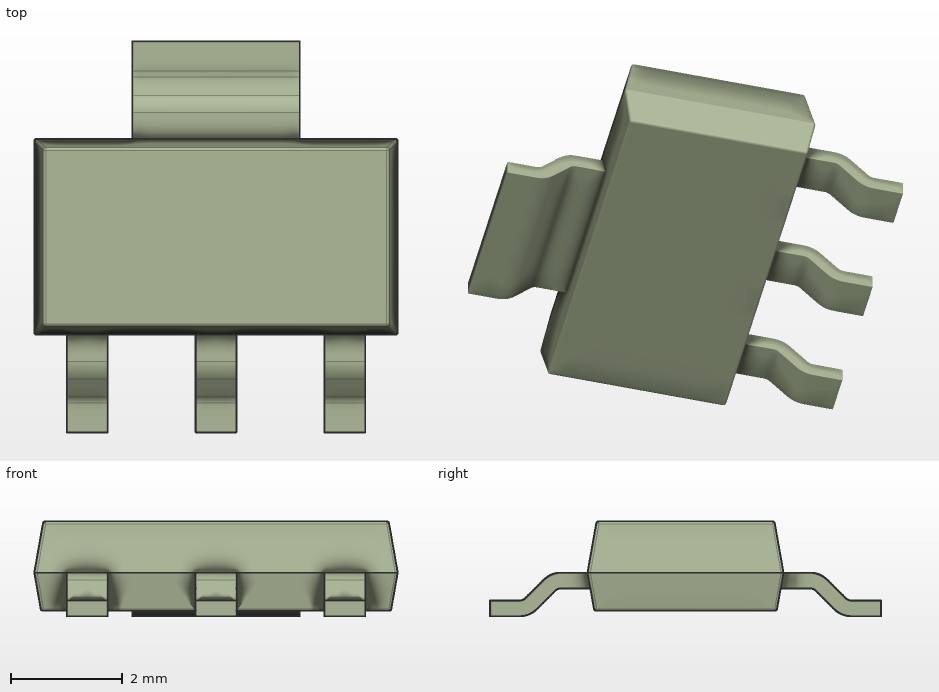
import cadquery as cq
import math

span = 7.0
height = 1.7

body_length = 6.5
body_width = 3.51
standoff = 0.1
parting_height = 0.785
draft_angle = 10.0
body_edge_radius = 0.05

strip_thickness = 0.29
inner_bend_radius = 0.15
outer_bend_radius = inner_bend_radius + strip_thickness
bend_angle = 45.0
strip_edge_radius = 0.015
foot_length = 0.595
embed_depth = 0.35
lead_width = 0.735
lead_pitch = 2.3
lead_count = 3
tab_width = 3.0


def body_half(thickness, parting_face):
    """Half of the body, narrowing away from the parting plane; negative thickness goes down."""
    half = (
        cq.Workplane("XY", origin=(0, 0, parting_height))
        .rect(body_length, body_width)
        .extrude(thickness, taper=draft_angle)
    )
    return half.edges(f"not({parting_face})").fillet(body_edge_radius)


def fillet_edges_at(strip, points, radius):
    """Round the edges along X that pass through the given (y, z) points."""
    for y, z in points:
        edge = strip.edges(cq.selectors.NearestToPointSelector((0, y, z)))
        strip = edge.fillet(radius)
    return strip


def bent_strip(width):
    """Gull-wing strip centred on X, with its tip at -Y and its foot on Z = 0."""
    tip = -span / 2
    inner_end = -body_width / 2 + embed_depth
    rise = parting_height - strip_thickness
    run = rise / math.tan(math.radians(bend_angle))
    miter_shift = strip_thickness * math.tan(math.radians(bend_angle / 2))

    foot_top = (tip + foot_length, strip_thickness)
    foot_bottom = (tip + foot_length + miter_shift, 0)
    shoulder_top = (foot_top[0] + run, parting_height)
    shoulder_bottom = (foot_bottom[0] + run, rise)
    outline = [
        (tip, 0),
        foot_bottom,
        shoulder_bottom,
        (inner_end, rise),
        (inner_end, parting_height),
        shoulder_top,
        foot_top,
        (tip, strip_thickness),
    ]
    strip = cq.Workplane("YZ").polyline(outline).close().extrude(width / 2, both=True)
    strip = fillet_edges_at(strip, [foot_top, shoulder_bottom], inner_bend_radius)
    strip = fillet_edges_at(strip, [foot_bottom, shoulder_top], outer_bend_radius)

    return strip.faces("<X or >X or <Y").edges().fillet(strip_edge_radius)


upper_half = body_half(height - parting_height, "<Z")
lower_half = body_half(standoff - parting_height, ">Z")
result = upper_half.union(lower_half)

lead = bent_strip(lead_width)
for index in range(lead_count):
    lead_x = (index - (lead_count - 1) / 2) * lead_pitch
    result = result.union(lead.translate((lead_x, 0, 0)))

tab = bent_strip(tab_width).rotate((0, 0, 0), (0, 0, 1), 180)
result = result.union(tab)